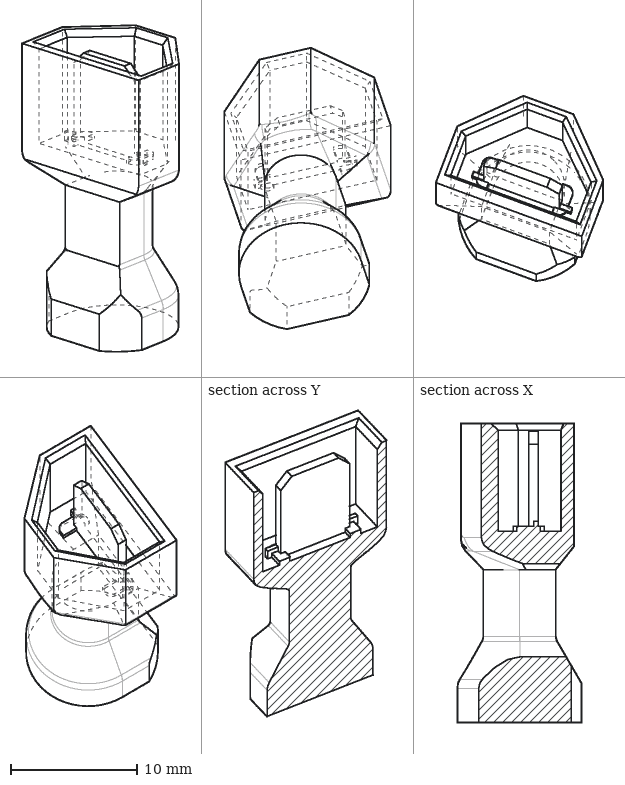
import cadquery as cq

total_height = 23.76
bell_rim_top = 3.13
neck_bottom = 6.65
neck_top = 12.15
housing_bottom = 14.0

bell_radius = 4.93
bell_corner_radius = 5.55
neck_radius = 2.88
bell_shoulder_fillet = 1.4
neck_root_fillet = 0.8

housing_half_width = 12.37 / 2
housing_front_y = -4.34
housing_back_y = 4.66
housing_side_end_y = 0.52
housing_back_half_width = 2.12
housing_bottom_fillet = 1.33
taper_side_end_y = -0.5

cavity_floor = 15.2
mouth_half_width = 5.73
mouth_front_y = -3.5
mouth_back_y = 4.26
mouth_side_end_y = 0.26
mouth_back_half_width = 1.66
cavity_half_width = 5.31
cavity_front_y = -3.28
cavity_back_y = 3.83
cavity_side_end_y = 0.1
cavity_back_half_width = 1.5
mouth_bevel_depth = 0.55

blade_width = 6.4
blade_thickness = 0.76
blade_front_y = -1.5
blade_top = 23.14
blade_tip_chamfer = 1.03
shoulder_width = 8.38
shoulder_thickness = 0.38
shoulder_height = 0.8

pad_inner_x = 2.78
pad_outer_x = 3.8
pad_front_y = -1.96
pad_back_y = 0.5
pad_corner_radius = 0.6
pad_height = 0.4

pick_margin = 0.1


def d_outline(radius, height):
    """D-shaped outline: straight front and sides, half-circle back."""
    return (
        cq.Workplane("XY", origin=(0, 0, height))
        .moveTo(-radius, 0)
        .lineTo(-radius, -radius)
        .lineTo(radius, -radius)
        .lineTo(radius, 0)
        .threePointArc((0, radius), (-radius, 0))
        .close()
    )


def loft_between(lower, upper):
    """Straight-sided solid between two closed outlines."""
    wires = [lower.wires().val(), upper.wires().val()]
    return cq.Workplane(cq.Solid.makeLoft(wires, True))


def six_sided(half_width, front_y, back_y, side_end_y, back_half_width, height):
    """Outline shared by the housing and its cavity: a rectangle with cut back corners."""
    return (
        cq.Workplane("XY", origin=(0, 0, height))
        .polyline([
            (-half_width, side_end_y),
            (-half_width, front_y),
            (half_width, front_y),
            (half_width, side_end_y),
            (back_half_width, back_y),
            (-back_half_width, back_y),
        ])
        .close()
    )


def back_and_side_edges(body, level, half_width, front_y, back_y):
    """Edges centred at one height, leaving out the edge along the front."""
    return body.edges(cq.selectors.BoxSelector(
        (-half_width - pick_margin, front_y + pick_margin, level - pick_margin),
        (half_width + pick_margin, back_y + pick_margin, level + pick_margin),
    ))


def make_bell_and_neck():
    rim = d_outline(bell_radius, 0).extrude(bell_rim_top)
    cone = loft_between(d_outline(bell_radius, bell_rim_top), d_outline(neck_radius, neck_bottom))
    neck = d_outline(neck_radius, neck_bottom).extrude(neck_top - neck_bottom)
    body = rim.union(cone).union(neck)

    for level, radius, fillet_radius in (
        (bell_rim_top, bell_radius, bell_shoulder_fillet),
        (neck_bottom, neck_radius, neck_root_fillet),
    ):
        body = back_and_side_edges(body, level, radius, -radius, radius).fillet(fillet_radius)
    envelope = cq.Workplane("XY").circle(bell_corner_radius).extrude(neck_top)
    return body.intersect(envelope)


def make_housing():
    def outline(height):
        return six_sided(
            housing_half_width, housing_front_y, housing_back_y,
            housing_side_end_y, housing_back_half_width, height,
        )

    neck_outline = (
        cq.Workplane("XY", origin=(0, 0, neck_top))
        .moveTo(-neck_radius, taper_side_end_y)
        .lineTo(-neck_radius, -neck_radius)
        .lineTo(neck_radius, -neck_radius)
        .lineTo(neck_radius, taper_side_end_y)
        .lineTo(neck_radius, 0)
        .threePointArc((0, neck_radius), (-neck_radius, 0))
        .close()
    )
    taper = loft_between(neck_outline, outline(housing_bottom))
    walls = outline(housing_bottom).extrude(total_height - housing_bottom)
    body = walls.union(taper)
    bends = back_and_side_edges(
        body, housing_bottom, housing_half_width, housing_front_y, housing_back_y,
    )
    return bends.fillet(housing_bottom_fillet)


def make_cavity():
    def outline(height):
        return six_sided(
            cavity_half_width, cavity_front_y, cavity_back_y,
            cavity_side_end_y, cavity_back_half_width, height,
        )

    mouth = six_sided(
        mouth_half_width, mouth_front_y, mouth_back_y,
        mouth_side_end_y, mouth_back_half_width, total_height,
    )
    bevel_start = total_height - mouth_bevel_depth
    well = outline(cavity_floor).extrude(bevel_start - cavity_floor)
    return well.union(loft_between(outline(bevel_start), mouth))


def standing_plate(width, thickness, top):
    """Upright plate from the cavity floor, with its front face on the blade's front."""
    return cq.Workplane("XY").box(
        width, thickness, top - cavity_floor, centered=(True, False, False)
    ).translate((0, blade_front_y, cavity_floor))


def make_contact():
    blade = standing_plate(blade_width, blade_thickness, blade_top)
    blade = blade.edges("|Y and >Z").chamfer(blade_tip_chamfer)
    shoulder = standing_plate(shoulder_width, shoulder_thickness, cavity_floor + shoulder_height)
    return blade.union(shoulder)


def make_pad():
    return (
        cq.Workplane("XY")
        .box(pad_outer_x - pad_inner_x, pad_back_y - pad_front_y, pad_height, centered=False)
        .translate((pad_inner_x, pad_front_y, cavity_floor))
        .edges("|Z and >X")
        .fillet(pad_corner_radius)
    )


pad = make_pad()
result = make_bell_and_neck().union(make_housing()).cut(make_cavity()).union(make_contact())
result = result.union(pad).union(pad.mirror("YZ"))